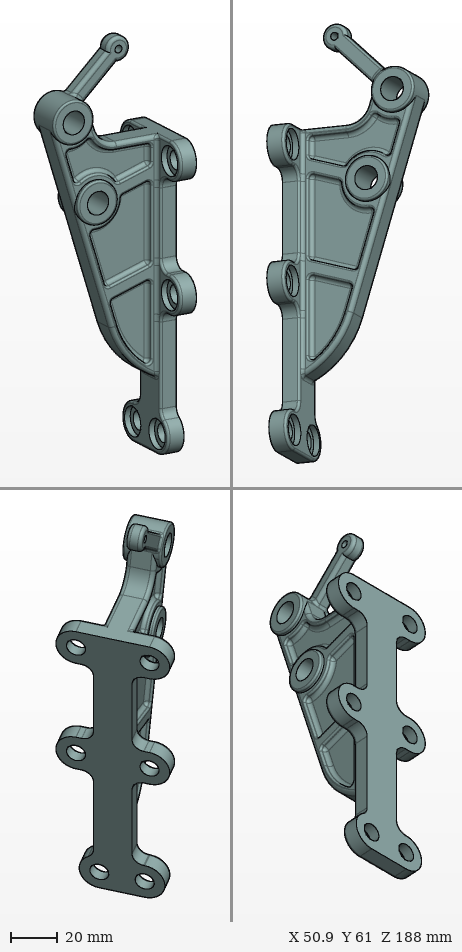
import cadquery as cq
import math


total_height = 188.0

plate_thickness = 8.0
plate_half_width = 8.6
plate_edge_round = 1.1
plate_corner_radius = 5.3
plate_top = 143.2
ear_radius = 9.0
side_ear_x = 16.45
upper_ear_z = plate_top - ear_radius
middle_ear_z = 74.0
lower_ear_z = ear_radius
lower_ear_left_x = -14.3
lower_ear_right_x = 6.0
bolt_diameter = 8.5
spotface_diameter = 13.5
spotface_depth = 2.8

boss_radius = 10.0
boss_half_length = 8.6
boss_bore = 10.5
boss_edge_round = 1.0
upper_boss = (-51.0, 156.2)
lower_boss = (-39.0, 118.2)

slope = math.radians(17.4)
web_half_width = 6.5
web_edge_round = 2.0
web_root_y = -3.8
web_root_fillet = 1.9
web_throat_radius = 10.7
web_heel_radius = 42.1
web_heel_start_z = 60.3

rim_width = 3.4
pocket_start_y = -11.0
pocket_floor_fillet = 1.9
pocket_edge_round = 1.0
pocket_depth = 3.0
boss_pad_radius = 12.6
rib_width = 6.2
rib_length = 52.6
lower_rib_middle = (-20.7, 79.5)

arm_tip_radius = 5.6
arm_tip = (-23.5, total_height - arm_tip_radius)
arm_tip_bore = 3.4
arm_left_x = -7.1
arm_right_x = -0.2
arm_width = 7.3
arm_tip_round = 1.7
arm_left_round = 1.0
arm_right_round = 1.9
arm_root_fillet = 1.9


def x_plane(x):
    """Sketch plane at the given x, with sketch axes along Y and Z."""
    return cq.Workplane("YZ", origin=(x, 0, 0))


def x_cylinder(centre, radius, x_start, x_end):
    return x_plane(x_start).center(*centre).circle(radius).extrude(x_end - x_start)


def plate_bar(x_left, x_right, z_bottom, z_top):
    bar = cq.Workplane("XY").box(x_right - x_left, plate_thickness, z_top - z_bottom, centered=False)
    return bar.translate((x_left, -plate_thickness, z_bottom))


def y_cylinder(x, z, diameter, y_start, depth):
    return cq.Workplane("XZ", origin=(x, y_start, z)).circle(diameter / 2).extrude(depth)


def ear_pair(x_left, x_right, z):
    pair = plate_bar(x_left, x_right, z - ear_radius, z + ear_radius)
    for x in (x_left, x_right):
        pair = pair.union(y_cylinder(x, z, 2 * ear_radius, 0, plate_thickness))
    return pair


ear_rows = [
    (-side_ear_x, side_ear_x, upper_ear_z),
    (-side_ear_x, side_ear_x, middle_ear_z),
    (lower_ear_left_x, lower_ear_right_x, lower_ear_z),
]


def make_plate():
    plate = plate_bar(-plate_half_width, plate_half_width, lower_ear_z, plate_top)
    for row in ear_rows:
        plate = plate.union(ear_pair(*row))
    corner_zs = [upper_ear_z - ear_radius, middle_ear_z + ear_radius, middle_ear_z - ear_radius]
    corners = [(side * plate_half_width, z) for side in (-1, 1) for z in corner_zs]
    corners.append((-plate_half_width, lower_ear_z + ear_radius))
    right_ear_overlap = plate_half_width - lower_ear_right_x
    right_corner_z = lower_ear_z + math.sqrt(ear_radius**2 - right_ear_overlap**2)
    corners.append((plate_half_width, right_corner_z))
    for x, z in corners:
        corner = cq.selectors.NearestToPointSelector((x, -plate_thickness / 2, z))
        plate = plate.edges("|Y").edges(corner).fillet(plate_corner_radius)
    return plate.faces("<Y").edges().fillet(plate_edge_round)


def slope_point(centre, along, across):
    """Point measured from a boss centre: along the slope upward, and across it away from the plate."""
    y = centre[0] - along * math.sin(slope) - across * math.cos(slope)
    z = centre[1] + along * math.cos(slope) - across * math.sin(slope)
    return (y, z)


def web_outline(x, root_y):
    outer_tangent = slope_point(upper_boss, 0, boss_radius)
    boss_crown = slope_point(upper_boss, boss_radius, 0)
    inner_tangent = slope_point(upper_boss, 0, -boss_radius)
    heel_start_along = (web_heel_start_z - outer_tangent[1]) / math.cos(slope)
    heel_start = slope_point(upper_boss, heel_start_along, boss_radius)

    throat_along = (plate_top + web_throat_radius - upper_boss[1]
                    - (boss_radius + web_throat_radius) * math.sin(slope)) / math.cos(slope)
    throat_centre = slope_point(upper_boss, throat_along, -boss_radius - web_throat_radius)
    throat_end = (throat_centre[0], plate_top)
    throat_start = slope_point(throat_centre, 0, web_throat_radius)
    throat_turn = (math.pi / 2 - slope) / 2
    throat_middle = (throat_centre[0] - web_throat_radius * math.sin(throat_turn),
                     throat_centre[1] - web_throat_radius * math.cos(throat_turn))

    heel_centre = slope_point(heel_start, 0, -web_heel_radius)
    heel_end_angle = math.acos((heel_centre[0] - root_y) / web_heel_radius)
    heel_middle_angle = (slope + heel_end_angle) / 2

    def heel_point(angle):
        return (heel_centre[0] - web_heel_radius * math.cos(angle),
                heel_centre[1] - web_heel_radius * math.sin(angle))

    return (
        x_plane(x)
        .moveTo(root_y, plate_top)
        .lineTo(*throat_end)
        .threePointArc(throat_middle, throat_start)
        .lineTo(*inner_tangent)
        .threePointArc(boss_crown, outer_tangent)
        .lineTo(*heel_start)
        .threePointArc(heel_point(heel_middle_angle), heel_point(heel_end_angle))
        .close()
    )


upper_rib_middle = (lower_boss[0] + rib_length / 2 * math.cos(slope), lower_boss[1] + rib_length / 2 * math.sin(slope))


def rib(point, x):
    bar = x_plane(x).rect(rib_length, rib_width).extrude(pocket_depth)
    bar = bar.rotate((0, 0, 0), (1, 0, 0), math.degrees(slope))
    return bar.translate((0, *point))


def make_pockets():
    """Pockets of the +X side: the inset web outline less the ribs and the pads round the bosses."""
    floor_x = web_half_width - pocket_depth
    area = web_outline(floor_x, pocket_start_y + rim_width).offset2D(-rim_width).extrude(pocket_depth)
    for centre in (upper_boss, lower_boss):
        area = area.cut(x_cylinder(centre, boss_pad_radius, floor_x, web_half_width))
    for point in (lower_rib_middle, upper_rib_middle):
        area = area.cut(rib(point, floor_x))
    return area.edges("not >X").fillet(pocket_floor_fillet)


def make_web():
    web = web_outline(-web_half_width, web_root_y).extrude(2 * web_half_width)
    web = web.faces("<X or >X").edges().fillet(web_edge_round)
    pockets = make_pockets()
    web = web.cut(pockets).cut(pockets.mirror("YZ"))
    side_faces = web.faces("<X or >X").vals()
    pocket_rims = [edge for face in side_faces for wire in face.innerWires() for edge in wire.Edges()]
    return web.newObject(pocket_rims).fillet(pocket_edge_round)


def join_web_to_plate(plate, web):
    joined = plate.union(web)
    near_corner = (-web_half_width - 0.2, -plate_thickness - 0.2, 0)
    far_corner = (web_half_width + 0.2, -plate_thickness + 0.2, plate_top + 0.2)
    root = cq.selectors.BoxSelector(near_corner, far_corner)
    return joined.edges(root).fillet(web_root_fillet)


def make_boss(centre):
    boss = x_cylinder(centre, boss_radius, -boss_half_length, boss_half_length)
    return boss.faces("<X or >X").edges().fillet(boss_edge_round)


def make_lever():
    """Upper boss with the arm blended into its side."""
    rise_y = arm_tip[0] - upper_boss[0]
    rise_z = arm_tip[1] - upper_boss[1]
    length = math.hypot(rise_y, rise_z)
    tilt = math.degrees(math.atan2(rise_z, rise_y))
    thickness = arm_right_x - arm_left_x
    bar = x_plane(arm_left_x).center(length / 2, 0).rect(length, arm_width).extrude(thickness)
    bar = bar.edges("|Y and <X").fillet(arm_left_round)
    bar = bar.edges("|Y and >X").fillet(arm_right_round)
    bar = bar.rotate((0, 0, 0), (1, 0, 0), tilt).translate((0, *upper_boss))
    tip = x_cylinder(arm_tip, arm_tip_radius, arm_left_x, arm_right_x)
    tip = tip.faces("<X or >X").edges().fillet(arm_tip_round)
    lever = make_boss(upper_boss).union(bar).union(tip)
    root_y = upper_boss[0] + rise_y * boss_radius / length
    root_z = upper_boss[1] + rise_z * boss_radius / length
    near_corner = (arm_left_x - 0.2, root_y - arm_width / 2, root_z - arm_width / 2)
    far_corner = (arm_right_x + 0.2, root_y + arm_width / 2, root_z + arm_width / 2)
    return lever.edges(cq.selectors.BoxSelector(near_corner, far_corner)).fillet(arm_root_fillet)


def cut_bolt_hole(body, x, z):
    body = body.cut(y_cylinder(x, z, bolt_diameter, 0, plate_thickness))
    return body.cut(y_cylinder(x, z, spotface_diameter, spotface_depth - plate_thickness, spotface_depth))


def cut_bore(body, centre, diameter):
    return body.cut(x_cylinder(centre, diameter / 2, -boss_half_length, boss_half_length))


result = join_web_to_plate(make_plate(), make_web())
result = result.union(make_boss(lower_boss)).union(make_lever())
for bored_boss in (upper_boss, lower_boss):
    result = cut_bore(result, bored_boss, boss_bore)
result = cut_bore(result, arm_tip, arm_tip_bore)
for left_x, right_x, ear_z in ear_rows:
    result = cut_bolt_hole(result, left_x, ear_z)
    result = cut_bolt_hole(result, right_x, ear_z)